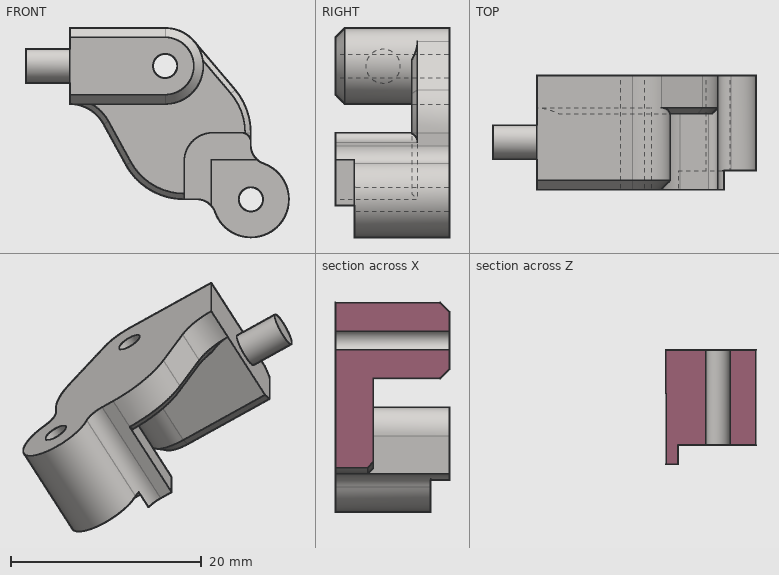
import cadquery as cq
import math

depth = 12.0
end_radius = 4.0
pivot_hole_diameter = 2.5
lug_x = 9.0
lug_drop = 14.0
lug_depth = 10.0

block_length = 10.0
block_chamfer = 1.0
pin_diameter = 3.6
pin_length = 4.6
pin_from_back = 7.0

plate_thickness = 4.0
plate_chamfer = 0.6
post_corner_radius = 3.0
post_small_radius = 1.0
neck_radius = 2.0
lug_clearance = 4.17

hub_radius = lug_drop / 2
hub_x = lug_x - hub_radius
hub_z = -hub_radius
lug_z = -lug_drop
cove_x = -block_length
cove_z = -2 * end_radius


def on_circle(center_x, center_z, radius, angle):
    return center_x + radius * math.cos(angle), center_z + radius * math.sin(angle)


def extrude_from_back(outline, thickness):
    """Extrude an XZ outline from the back face toward -Y."""
    return outline.close().extrude(thickness)


def make_block():
    outline = (
        cq.Workplane("XZ")
        .moveTo(-block_length, -end_radius)
        .lineTo(0, -end_radius)
        .threePointArc((end_radius, 0), (0, end_radius))
        .lineTo(-block_length, end_radius)
    )
    block = extrude_from_back(outline, depth)
    front_rim = block.faces("<Y").edges("not(<X)")
    return front_rim.chamfer(block_chamfer)


def make_pin():
    pin = cq.Workplane("YZ", origin=(-block_length, -pin_from_back, 0))
    return pin.circle(pin_diameter / 2).extrude(-pin_length)


def make_plate():
    hub_distance = math.hypot(hub_x, hub_z)
    upper_angle = math.atan2(hub_z, hub_x) + math.acos((end_radius - hub_radius) / hub_distance)
    cove_to_hub_x = hub_x - cove_x
    cove_to_hub_z = hub_z - cove_z
    cove_distance = math.hypot(cove_to_hub_x, cove_to_hub_z)
    lower_angle = math.atan2(cove_to_hub_z, cove_to_hub_x)
    lower_angle += math.acos((end_radius + hub_radius) / cove_distance)

    cove_middle = (lower_angle + math.pi / 2) / 2
    hub_lower_start = lower_angle + math.pi
    hub_lower_middle = (hub_lower_start + 3 * math.pi / 2) / 2
    block_end_middle = (upper_angle + math.pi / 2) / 2

    outline = (
        cq.Workplane("XZ")
        .moveTo(-block_length, -end_radius)
        .threePointArc(
            on_circle(cove_x, cove_z, end_radius, cove_middle),
            on_circle(cove_x, cove_z, end_radius, lower_angle),
        )
        .lineTo(*on_circle(hub_x, hub_z, hub_radius, hub_lower_start))
        .threePointArc(
            on_circle(hub_x, hub_z, hub_radius, hub_lower_middle),
            (hub_x, lug_z),
        )
        .lineTo(lug_x, lug_z)
        .lineTo(lug_x, hub_z)
        .threePointArc(
            on_circle(hub_x, hub_z, hub_radius, upper_angle / 2),
            on_circle(hub_x, hub_z, hub_radius, upper_angle),
        )
        .lineTo(*on_circle(0, 0, end_radius, upper_angle))
        .threePointArc(
            on_circle(0, 0, end_radius, block_end_middle),
            (0, end_radius),
        )
        .lineTo(-block_length, end_radius)
    )
    plate = extrude_from_back(outline, plate_thickness)
    front_rim = plate.faces("<Y").edges("not(<X)")
    return front_rim.chamfer(plate_chamfer)


def make_post_and_lug():
    neck_reach = math.sqrt((end_radius + neck_radius) ** 2 - neck_radius ** 2)
    neck_angle = math.atan2(neck_reach, neck_radius)
    right_neck = (lug_x + neck_radius, lug_z + neck_reach)
    lower_neck = (lug_x - neck_reach, lug_z - neck_radius)
    lower_join_angle = 3 * math.pi / 2 - neck_angle

    corner_center = (hub_x + post_corner_radius, hub_z - post_corner_radius)
    small_center = (lug_x - post_small_radius, hub_z - post_small_radius)

    outline = (
        cq.Workplane("XZ")
        .moveTo(hub_x, lug_z)
        .lineTo(lower_neck[0], lug_z)
        .threePointArc(
            on_circle(*lower_neck, neck_radius, math.pi / 2 - neck_angle / 2),
            on_circle(lug_x, lug_z, end_radius, lower_join_angle),
        )
        .threePointArc(
            on_circle(lug_x, lug_z, end_radius, -math.pi / 4),
            on_circle(lug_x, lug_z, end_radius, neck_angle),
        )
        .threePointArc(
            on_circle(*right_neck, neck_radius, math.pi + neck_angle / 2),
            (lug_x, right_neck[1]),
        )
        .lineTo(lug_x, small_center[1])
        .threePointArc(
            on_circle(*small_center, post_small_radius, math.pi / 4),
            (small_center[0], hub_z),
        )
        .lineTo(corner_center[0], hub_z)
        .threePointArc(
            on_circle(*corner_center, post_corner_radius, 3 * math.pi / 4),
            (hub_x, corner_center[1]),
        )
    )
    post = extrude_from_back(outline, depth)

    step_side = 2 * lug_clearance
    step = (
        cq.Workplane("XZ", origin=(lug_x, -lug_depth, lug_z))
        .rect(step_side, step_side)
        .extrude(depth - lug_depth)
    )
    return post.cut(step)


def make_pivot_holes():
    centers = [(0, 0), (lug_x, lug_z)]
    return cq.Workplane("XZ").pushPoints(centers).circle(pivot_hole_diameter / 2).extrude(depth)


result = (
    make_plate()
    .union(make_block())
    .union(make_pin())
    .union(make_post_and_lug())
    .cut(make_pivot_holes())
)